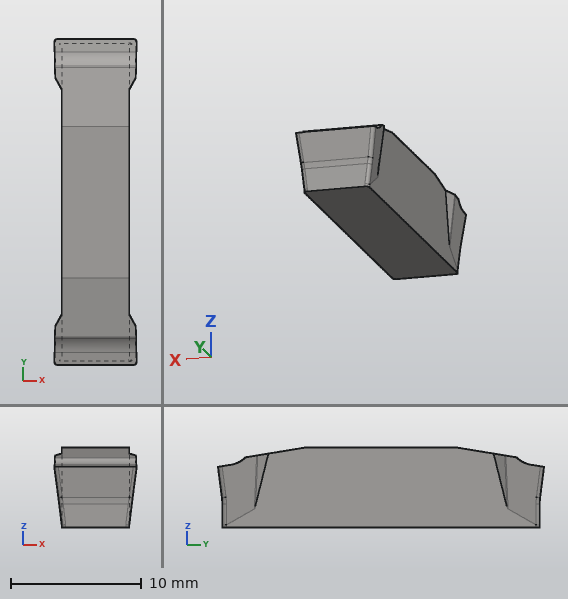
import cadquery as cq
import math


length = 25.0
height = 6.14
body_half_width = 2.6
half_length = length / 2

flat_half_length = 5.8
ramp_angle = math.radians(9.3)
crest_y = 10.38
crest_radius = 0.24
edge_height = 4.66
land_angle = math.radians(9.0)
land_length = 1.0
crest_z = height - (crest_y - flat_half_length) * math.tan(ramp_angle)
land_y = half_length - land_length
land_z = edge_height + land_length * math.tan(land_angle)

end_relief = math.radians(7.3)
relief_bottom_z = 2.34
blend_height = 0.5
relief_bottom_y = half_length - (edge_height - relief_bottom_z) * math.tan(end_relief)
foot_top_z = relief_bottom_z - blend_height
foot_y = relief_bottom_y - blend_height * math.tan(end_relief / 2)

tip_y = 9.67
tip_z = 1.47
flank_tilt = math.tan(math.radians(7.0))
flank_taper = math.tan(math.radians(4.0))
runout_slope = math.tan(math.radians(30.0))
runout_lean = 0.249
shoulder_radius = 0.2
corner_radius = 0.3

margin = 1.0
tolerance = 0.001


def half_profile():
    """Lengthwise outline from the middle to the +Y end, wider than the part."""
    half_width = body_half_width + margin
    outline = (
        cq.Workplane("YZ", origin=(-half_width, 0, 0))
        .lineTo(foot_y, 0)
        .lineTo(foot_y, foot_top_z)
        .tangentArcPoint((relief_bottom_y, relief_bottom_z), relative=False)
        .lineTo(half_length, edge_height)
        .lineTo(land_y, land_z)
        .tangentArcPoint((crest_y, crest_z), relative=False)
        .lineTo(flat_half_length, height)
        .lineTo(0, height)
        .close()
    )
    block = outline.extrude(2 * half_width)
    crest_edge = cq.selectors.NearestToPointSelector((0, crest_y, crest_z))
    return block.edges("|X").edges(crest_edge).fillet(crest_radius)


def head_section(z):
    """Corner points of the head at height z, going around from the +X outer corner."""
    rise = z - tip_z
    root_y = tip_y - runout_lean * rise
    shoulder_drift = (flank_tilt - runout_slope * runout_lean) / (runout_slope - flank_taper)
    shoulder_y = tip_y + shoulder_drift * rise
    shoulder_x = body_half_width + runout_slope * (shoulder_y - root_y)
    outer_y = half_length + margin
    outer_x = shoulder_x + flank_taper * (outer_y - shoulder_y)
    inner_x = body_half_width - margin
    inner_y = root_y - margin / runout_slope
    right_side = [(outer_x, outer_y), (shoulder_x, shoulder_y), (inner_x, inner_y)]
    left_side = [(-x, y) for x, y in reversed(right_side)]
    return right_side + left_side


def head_block():
    """Flared head at the +Y end with its shoulders rounded."""
    block = (
        cq.Workplane("XY")
        .polyline(head_section(0))
        .close()
        .workplane(offset=height)
        .polyline(head_section(height))
        .close()
        .loft(ruled=True)
    )
    middle_z = height / 2
    shoulder_x, shoulder_y = head_section(middle_z)[1]
    for side in (-1, 1):
        shoulder = cq.selectors.NearestToPointSelector((side * shoulder_x, shoulder_y, middle_z))
        block = block.edges(shoulder).fillet(shoulder_radius)
    return block


def body_block():
    """Straight body from the middle to beyond the +Y end."""
    reach = half_length + margin
    return cq.Workplane("XY").box(2 * body_half_width, reach, height, centered=(True, False, False))


def is_end_corner(edge):
    """True for an edge that lies on the end face and climbs along it."""
    start = edge.startPoint()
    end = edge.endPoint()
    on_end_face = min(start.y, end.y) > foot_y - tolerance
    climbs = abs(start.z - end.z) > tolerance
    return on_end_face and climbs


def round_end_corners(solid):
    """Round the upright corners of the +Y end face."""
    corners = solid.edges().filter(is_end_corner)
    return solid.newObject(corners.vals()).fillet(corner_radius)


profile = half_profile()
body = round_end_corners(body_block().intersect(profile))
head = round_end_corners(head_block().intersect(profile))
half = body.union(head)
result = half.union(half.mirror("XZ"))